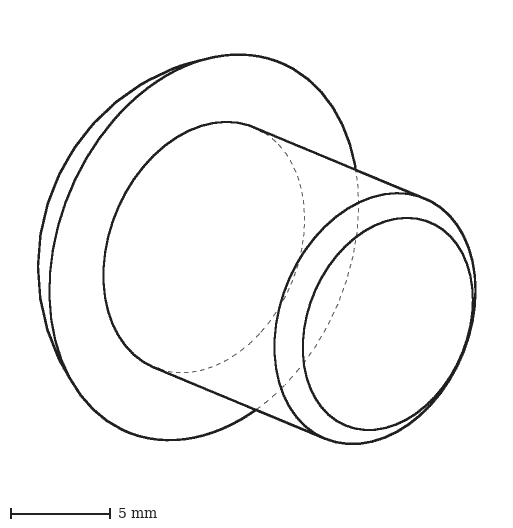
import cadquery as cq

overall_length = 21.43
head_diameter = 20.0
head_height = 6.95
shank_diameter = 13.0
tip_chamfer = 1.0

head_radius = head_diameter / 2
shank_length = overall_length - head_height

dome_radius = (head_radius**2 + head_height**2) / (2 * head_height)
dome_center_x = dome_radius


def make_head():
    """Keep the part of the dome sphere in front of the flat underside."""
    sphere = cq.Workplane("XY").sphere(dome_radius).translate((dome_center_x, 0, 0))
    cutter = cq.Workplane("YZ").circle(dome_radius).extrude(head_height)
    return sphere.intersect(cutter)


def make_shank():
    """Plain cylinder from the head's underside, chamfered at the tip."""
    shank = (
        cq.Workplane("YZ", origin=(head_height, 0, 0))
        .circle(shank_diameter / 2)
        .extrude(shank_length)
    )
    return shank.faces(">X").chamfer(tip_chamfer)


result = make_head().union(make_shank())